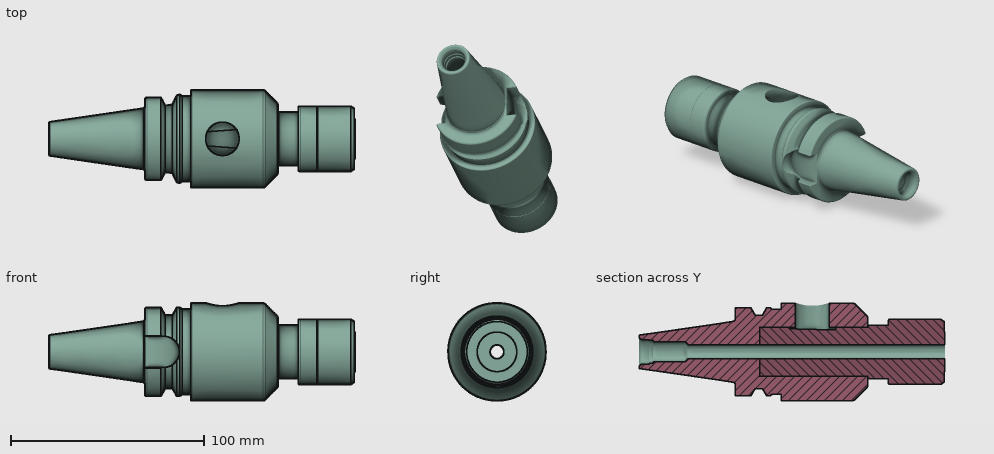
import cadquery as cq
import math

overall_length = 158.65

gauge_diameter = 31.75
taper_length = 48.7
taper_ratio = 7 / 24
small_end_diameter = gauge_diameter - taper_length * taper_ratio
small_end_fillet = 0.9
taper_root_fillet = 0.5

flange_diameter = 46.0
flange_start = 49.7
flange_fillet = 1.0
groove_diameter = 38.3
groove_start = 60.25
groove_end = 64.0
groove_flank_angle = 30.0
groove_flank_length = (flange_diameter - groove_diameter) / 2 * math.tan(math.radians(groove_flank_angle))
flange_bevel_start = 67.9
flange_end = 69.0
collar_diameter = 44.4

keyway_width = 16.1
keyway_floor = 16.3
keyway_end = 67.65
keyway_edge_chamfer = 0.35

body_diameter = 50.8
body_start = 73.6
body_end = 118.7
body_back_fillet = 0.5
nose_diameter = 36.4
nose_angle = 45.0
nose_cone_length = (body_diameter - nose_diameter) / 2 / math.tan(math.radians(nose_angle))
nose_blend_radius = 2.0
nose_edge_chamfer = 0.5

mouth_diameter = 14.9
lip_diameter = 13.1
mouth_depth = 0.9
socket_diameter = 12.5
lip_depth = 1.7
socket_depth = 5.3
relief_diameter = 11.6
relief_depth = 7.3
thread_diameter = 10.11
thread_depth = 24.0
coolant_diameter = 7.0
socket_cone_length = (thread_diameter - coolant_diameter) / 2

shank_diameter = 25.0
shank_length = 56.0
shank_start = body_end - shank_length
screw_position = 89.9
screw_diameter = 17.32
flat_angle = 1.5
flat_depth = 0.75
flat_length = 24.0

neck_diameter = 28.0
neck_chamfer = 0.4
head_diameter = 34.0
head_start = 129.1
head_back_fillet = 1.0
head_joint = 139.0
joint_groove = 0.2
head_front_chamfer_length = 1.9
head_front_chamfer_depth = 1.3
end_boss_diameter = 20.5
end_boss_height = 0.4


def cylinder(diameter, start, end):
    """Cylinder on the X axis between two stations."""
    return cq.Workplane("YZ", origin=(start, 0, 0)).circle(diameter / 2).extrude(end - start)


def cone(start_diameter, end_diameter, start, end):
    """Truncated cone on the X axis between two stations."""
    return (
        cq.Workplane("XY")
        .moveTo(start, 0)
        .lineTo(start, start_diameter / 2)
        .lineTo(end, end_diameter / 2)
        .lineTo(end, 0)
        .close()
        .revolve(360, (0, 0, 0), (1, 0, 0))
    )


def make_taper():
    """Taper shank with a short cylindrical relief up to the flange."""
    taper = cone(small_end_diameter, gauge_diameter, 0, taper_length)
    taper = taper.faces("<X").edges().fillet(small_end_fillet)
    return taper.union(cylinder(gauge_diameter, taper_length, flange_start))


def make_taper_root():
    """Ring with a concave fillet between the taper relief and the flange face."""
    relief_radius = gauge_diameter / 2
    return (
        cq.Workplane("XY")
        .moveTo(flange_start - taper_root_fillet, relief_radius)
        .radiusArc((flange_start, relief_radius + taper_root_fillet), taper_root_fillet)
        .lineTo(flange_start, 0)
        .lineTo(flange_start - taper_root_fillet, 0)
        .close()
        .revolve(360, (0, 0, 0), (1, 0, 0))
    )


def make_groove():
    """Ring that cuts the gripper groove."""
    groove_radius = groove_diameter / 2
    rim_radius = flange_diameter / 2
    return (
        cq.Workplane("XY")
        .moveTo(groove_start, groove_radius)
        .lineTo(groove_start - groove_flank_length, rim_radius)
        .lineTo(groove_end + groove_flank_length, rim_radius)
        .lineTo(groove_end, groove_radius)
        .close()
        .revolve(360, (0, 0, 0), (1, 0, 0))
    )


def make_flange():
    """Flange with the gripper groove, the two drive keyways and the collar behind them."""
    flange = cylinder(flange_diameter, flange_start, flange_bevel_start)
    flange = flange.faces("<X").edges().fillet(flange_fillet)
    flange = flange.union(cone(flange_diameter, collar_diameter, flange_bevel_start, flange_end))
    flange = flange.cut(make_groove())
    for side in (1, -1):
        flange = flange.cut(make_keyway(side))
    flange = chamfer_keyway_edges(flange)
    return flange.union(cylinder(collar_diameter, flange_end, body_start))


def chamfer_keyway_edges(flange):
    """Break the keyway edges on the flange face and rim, in front of the gripper groove."""
    half_width = keyway_width / 2
    tolerance = 0.05
    face_start = keyway_floor + flange_fillet
    rim_radius = flange_diameter / 2
    rim_end = groove_start - groove_flank_length
    edges = []
    for side_y in (1, -1):
        for side_z in (1, -1):
            near = (flange_start - tolerance, side_y * face_start, side_z * half_width - tolerance)
            far = (rim_end, side_y * rim_radius, side_z * half_width + tolerance)
            edges += flange.edges(cq.selectors.BoxSelector(near, far)).vals()
    return flange.newObject(edges).chamfer(keyway_edge_chamfer)


def make_keyway(side):
    """Round-ended drive keyway, on the +Y (side = 1) or -Y (side = -1) side."""
    radius = keyway_width / 2
    round_centre = keyway_end - radius
    outer = body_diameter / 2
    slot = (
        cq.Workplane("XY")
        .box(round_centre - flange_start, outer - keyway_floor, keyway_width, centered=(False, False, True))
        .translate((flange_start, keyway_floor, 0))
    )
    round_end = (
        cq.Workplane("XZ", origin=(round_centre, keyway_floor, 0))
        .circle(radius)
        .extrude(keyway_floor - outer)
    )
    keyway = slot.union(round_end)
    return keyway if side > 0 else keyway.mirror("XZ")


def make_chuck_body():
    """Cylindrical body with a blended conical nose."""
    cone_start = body_end - nose_cone_length
    body = cylinder(body_diameter, body_start, cone_start)
    body = body.union(cone(body_diameter, nose_diameter, cone_start, body_end))
    body = body.faces("<X").edges().fillet(body_back_fillet)
    body = body.faces(">X").edges().chamfer(nose_edge_chamfer)
    near_cone_start = cq.selectors.BoxSelector(
        (cone_start - nose_edge_chamfer, -body_diameter, -body_diameter),
        (cone_start + nose_edge_chamfer, body_diameter, body_diameter),
    )
    return body.edges("%CIRCLE").edges(near_cone_start).fillet(nose_blend_radius)


def make_socket():
    """Pull stud socket, running into the coolant bore."""
    cone_end = thread_depth + socket_cone_length
    socket = cone(mouth_diameter, lip_diameter, 0, mouth_depth)
    socket = socket.union(cone(lip_diameter, socket_diameter, mouth_depth, lip_depth))
    socket = socket.union(cylinder(socket_diameter, lip_depth, socket_depth))
    socket = socket.union(cylinder(relief_diameter, socket_depth, relief_depth))
    socket = socket.union(cylinder(thread_diameter, relief_depth, thread_depth))
    socket = socket.union(cone(thread_diameter, coolant_diameter, thread_depth, cone_end))
    return socket.union(cylinder(coolant_diameter, cone_end, shank_start))


def make_housing():
    """Taper holder with its bores, keyways and screw hole."""
    taper_root = make_taper_root()
    for side in (1, -1):
        taper_root = taper_root.cut(make_keyway(side))
    housing = make_taper().union(taper_root).union(make_flange()).union(make_chuck_body())
    screw_hole = (
        cq.Workplane("XY", origin=(screw_position, 0, 0))
        .circle(screw_diameter / 2)
        .extrude(body_diameter)
    )
    shank_bore = cylinder(shank_diameter, shank_start, body_end)
    return housing.cut(make_socket()).cut(shank_bore).cut(screw_hole)


def make_shank():
    """Insert shank with the inclined flat under the clamping screw."""
    shank = cylinder(shank_diameter, shank_start, body_end)
    flat_cutter = (
        cq.Workplane("XY")
        .box(flat_length, shank_diameter, shank_diameter, centered=(True, True, False))
        .rotate((0, 0, 0), (0, 1, 0), flat_angle)
        .translate((screw_position, 0, shank_diameter / 2 - flat_depth))
    )
    return shank.cut(flat_cutter)


def make_head():
    """Insert head with a fine joint groove and a low boss on its end."""
    boss_start = overall_length - end_boss_height
    head = cylinder(head_diameter, head_start, boss_start)
    head = head.faces("<X").edges().fillet(head_back_fillet)
    head = head.faces(">X").edges().chamfer(head_front_chamfer_length, head_front_chamfer_depth)
    groove_back = head_joint - joint_groove
    groove_front = head_joint + joint_groove
    groove_core = cylinder(head_diameter - 2 * joint_groove, groove_back, groove_front)
    groove = cylinder(head_diameter, groove_back, groove_front).cut(groove_core)
    return head.cut(groove).union(cylinder(end_boss_diameter, boss_start, overall_length))


def make_insert():
    """Clamped insert: shank, neck and head on one axis with a through bore."""
    neck = cylinder(neck_diameter, body_end, head_start).faces("<X").edges().chamfer(neck_chamfer)
    insert = make_shank().union(neck).union(make_head())
    return insert.cut(cylinder(coolant_diameter, shank_start, overall_length))


housing = make_housing()
insert = make_insert()

result = cq.Compound.makeCompound([housing.solids().val(), insert.solids().val()])